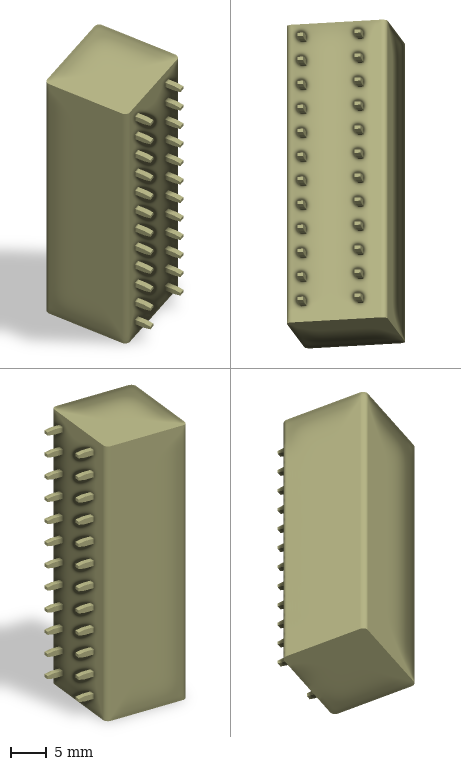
import cadquery as cq

BODY_LENGTH_X = 13.5
BODY_WIDTH_Y = 14.4
BODY_HEIGHT = 43.4
CORNER_RADIUS = 0.8

PIN_LENGTH = 2.5
PIN_THICKNESS = 0.82
PIN_TIP_HEIGHT = 0.48
TAPER_LENGTH = 1.0
PIN_COUNT = 12
PIN_COLUMN_HEIGHT = 38.5
TOP_PIN_DEPTH = 2.2
BACK_COLUMN_Y = 3.55
PIN_COLUMN_SPACING = 8.2

pin_columns_y = (BACK_COLUMN_Y, BACK_COLUMN_Y - PIN_COLUMN_SPACING)
pin_root_x = BODY_LENGTH_X / 2
pin_tip_x = pin_root_x + PIN_LENGTH
taper_start_x = pin_tip_x - TAPER_LENGTH
pin_pitch = PIN_COLUMN_HEIGHT / (PIN_COUNT - 1)
half_thickness = PIN_THICKNESS / 2
half_tip = PIN_TIP_HEIGHT / 2


def make_body():
    """Block centred in X and Y, standing on Z = 0."""
    return (
        cq.Workplane("XY")
        .rect(BODY_LENGTH_X, BODY_WIDTH_Y)
        .extrude(BODY_HEIGHT)
        .edges("|Z")
        .fillet(CORNER_RADIUS)
    )


def make_pin(y, z):
    """Square pin along +X whose end narrows in height only."""
    return (
        cq.Workplane("XZ")
        .moveTo(pin_root_x, -half_thickness)
        .lineTo(taper_start_x, -half_thickness)
        .lineTo(pin_tip_x, -half_tip)
        .lineTo(pin_tip_x, half_tip)
        .lineTo(taper_start_x, half_thickness)
        .lineTo(pin_root_x, half_thickness)
        .close()
        .extrude(half_thickness, both=True)
        .translate((0, y, z))
    )


result = make_body()
for column_y in pin_columns_y:
    for row in range(PIN_COUNT):
        pin_z = BODY_HEIGHT - TOP_PIN_DEPTH - row * pin_pitch
        result = result.union(make_pin(column_y, pin_z))